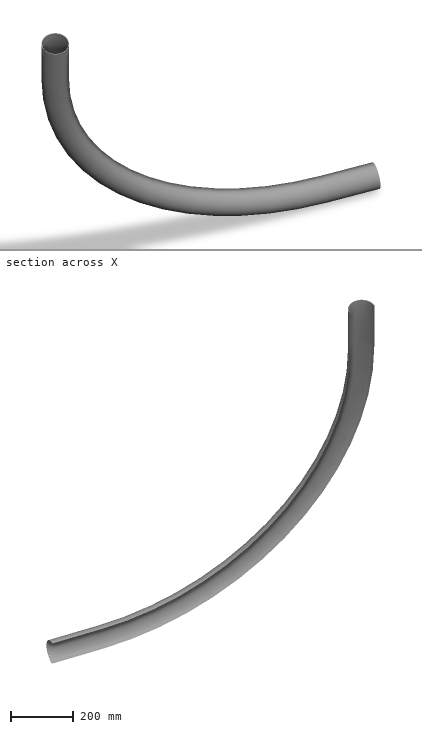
import cadquery as cq

outer_diameter = 88.9
inner_diameter = 84.68
bend_radius = 914.4
tangent_length = 177.8
bend_angle = 90


def pipe_section(plane):
    """Annular pipe wall section centred on the origin of the given plane."""
    return cq.Workplane(plane).circle(outer_diameter / 2).circle(inner_diameter / 2)


bend = pipe_section("XY").revolve(bend_angle, (0, bend_radius, 0), (1, bend_radius, 0))

vertical_leg = pipe_section("XY").extrude(tangent_length)

horizontal_start = cq.Plane(origin=(0, bend_radius, -bend_radius), xDir=(1, 0, 0), normal=(0, 1, 0))
horizontal_leg = pipe_section(horizontal_start).extrude(tangent_length)

result = bend.union(vertical_leg).union(horizontal_leg)